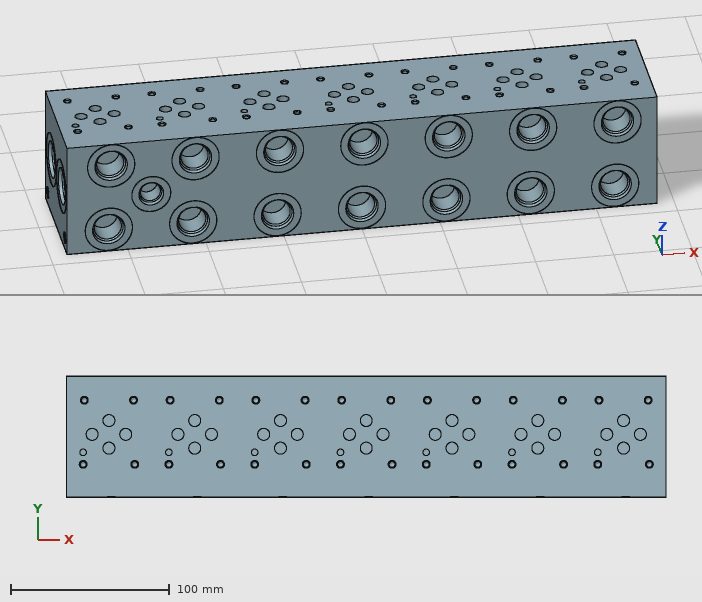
import cadquery as cq
import math

LENGTH = 378.0
SIDE = 76.5

STATION_COUNT = 7
STATION_PITCH = 54.0
FIRST_STATION_X = (LENGTH - (STATION_COUNT - 1) * STATION_PITCH) / 2
STATION_Y = SIDE - 36.5

FLOW_HOLE_DIAMETER = 7.5
FLOW_HOLE_DEPTH = 15.0
FLOW_HOLE_X_OFFSET = 10.5
FLOW_HOLE_Y_OFFSET = 8.7
BOLT_Y_BACK = 21.5
BOLT_Y_FRONT = -19.0
BOLT_X_BACK = 15.5
BOLT_X_FRONT = 16.2
BOLT_DRILL_DIAMETER = 3.65
BOLT_MOUTH_DIAMETER = 5.0
BOLT_DEPTH = 11.5
PIN_DIAMETER = 4.0
PIN_DEPTH = 5.5
PIN_Y = -11.5

SPOTFACE_DEPTH = 0.5
SEAT_DEPTH = 2.3
SEAT_TAPER = 1.5

WORK_SPOTFACE_DIAMETER = 30.2
WORK_SEAT_DIAMETER = 20.8
WORK_BORE_DIAMETER = 17.5
WORK_PORT_DEPTH = 19.0
WORK_PORT_EDGE = 15.5
B_PORT_X_SHIFT = 1.5

GAUGE_SPOTFACE_DIAMETER = 25.0
GAUGE_SEAT_DIAMETER = 16.0
GAUGE_BORE_DIAMETER = 13.0
GAUGE_PORT_DEPTH = 15.0
GAUGE_PORT_X = 54.0

SUPPLY_SPOTFACE_DIAMETER = 34.5
SUPPLY_SEAT_DIAMETER = 23.8
SUPPLY_BORE_DIAMETER = 20.5
SUPPLY_PORT_DEPTH = 22.5
SUPPLY_PORT_EDGE = 20.5

MOUNT_DRILL_DIAMETER = 6.5
MOUNT_MOUTH_DIAMETER = 7.5
MOUNT_DEPTH = 15.0
MOUNT_EDGE = 8.0

DRILL_POINT_ANGLE = 118.0

INTO_TOP = cq.Vector(0, 0, -1)
INTO_FRONT = cq.Vector(0, 1, 0)
INTO_END = cq.Vector(1, 0, 0)


def cylinder(diameter, depth, mouth, direction):
    return cq.Solid.makeCylinder(diameter / 2, depth, mouth, direction)


def cone(mouth_diameter, end_diameter, depth, mouth, direction):
    return cq.Solid.makeCone(mouth_diameter / 2, end_diameter / 2, depth, mouth, direction)


def port(spotface, seat, bore, depth, mouth, direction):
    """Cutters of a port: shallow spotface, tapered seat, chamfer and flat-bottomed bore."""
    seat_mouth = mouth + direction * SPOTFACE_DEPTH
    seat_end = seat - SEAT_TAPER
    chamfer = (seat_end - bore) / 2
    return [
        cylinder(spotface, SPOTFACE_DEPTH, mouth, direction),
        cone(seat, seat_end, SEAT_DEPTH, seat_mouth, direction),
        cone(seat_end, bore, chamfer, seat_mouth + direction * SEAT_DEPTH, direction),
        cylinder(bore, depth, mouth, direction),
    ]


def tapped_hole(mouth_diameter, drill_diameter, depth, mouth, direction):
    """Cutters of a drilled hole with a 45 degree mouth chamfer and a drill-point floor."""
    chamfer = (mouth_diameter - drill_diameter) / 2
    point_height = drill_diameter / 2 / math.tan(math.radians(DRILL_POINT_ANGLE / 2))
    return [
        cone(mouth_diameter, drill_diameter, chamfer, mouth, direction),
        cylinder(drill_diameter, depth, mouth, direction),
        cone(drill_diameter, 0, point_height, mouth + direction * depth, direction),
    ]


def valve_pattern(station_x):
    """Four flow holes, four bolt holes and one locating pin hole on the top face."""
    cutters = []

    def top_point(dx, dy):
        return cq.Vector(station_x + dx, STATION_Y + dy, SIDE)

    for side in (-1, 1):
        for mouth in (top_point(side * FLOW_HOLE_X_OFFSET, 0), top_point(0, side * FLOW_HOLE_Y_OFFSET)):
            cutters.append(cylinder(FLOW_HOLE_DIAMETER, FLOW_HOLE_DEPTH, mouth, INTO_TOP))
        for dx, dy in ((BOLT_X_BACK, BOLT_Y_BACK), (BOLT_X_FRONT, BOLT_Y_FRONT)):
            mouth = top_point(side * dx, dy)
            cutters += tapped_hole(BOLT_MOUTH_DIAMETER, BOLT_DRILL_DIAMETER, BOLT_DEPTH, mouth, INTO_TOP)
    cutters.append(cylinder(PIN_DIAMETER, PIN_DEPTH, top_point(-BOLT_X_FRONT, PIN_Y), INTO_TOP))
    return cutters


def work_ports(station_x):
    """Lower A port and upper B port of one station on the front face."""
    cutters = []
    for shift, z in ((0, WORK_PORT_EDGE), (B_PORT_X_SHIFT, SIDE - WORK_PORT_EDGE)):
        mouth = cq.Vector(station_x + shift, 0, z)
        cutters += port(
            WORK_SPOTFACE_DIAMETER, WORK_SEAT_DIAMETER, WORK_BORE_DIAMETER, WORK_PORT_DEPTH, mouth, INTO_FRONT
        )
    return cutters


def gauge_port():
    mouth = cq.Vector(GAUGE_PORT_X, 0, SIDE / 2)
    return port(
        GAUGE_SPOTFACE_DIAMETER, GAUGE_SEAT_DIAMETER, GAUGE_BORE_DIAMETER, GAUGE_PORT_DEPTH, mouth, INTO_FRONT
    )


def end_face_holes():
    """Pressure and tank ports with the two mounting holes below them."""
    cutters = []
    for y in (SUPPLY_PORT_EDGE, SIDE - SUPPLY_PORT_EDGE):
        mouth = cq.Vector(0, y, SIDE / 2)
        cutters += port(
            SUPPLY_SPOTFACE_DIAMETER,
            SUPPLY_SEAT_DIAMETER,
            SUPPLY_BORE_DIAMETER,
            SUPPLY_PORT_DEPTH,
            mouth,
            INTO_END,
        )
    for y in (MOUNT_EDGE, SIDE - MOUNT_EDGE):
        mouth = cq.Vector(0, y, MOUNT_EDGE)
        cutters += tapped_hole(MOUNT_MOUTH_DIAMETER, MOUNT_DRILL_DIAMETER, MOUNT_DEPTH, mouth, INTO_END)
    return cutters


all_cutters = gauge_port() + end_face_holes()
for station in range(STATION_COUNT):
    center_x = FIRST_STATION_X + station * STATION_PITCH
    all_cutters += valve_pattern(center_x)
    all_cutters += work_ports(center_x)

block = cq.Solid.makeBox(LENGTH, SIDE, SIDE)
result = cq.Workplane(obj=block.cut(*all_cutters).Solids()[0])